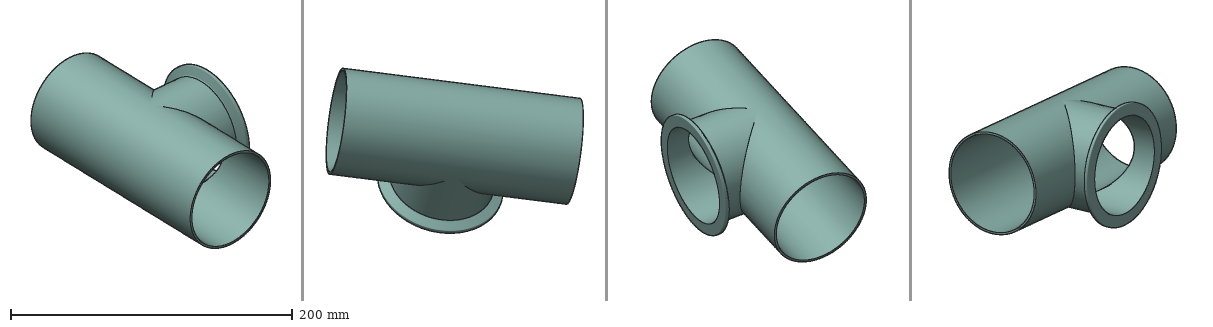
import cadquery as cq
import math

RUN_LENGTH = 171.5
TUBE_OUTER_DIAMETER = 76.1
TUBE_INNER_DIAMETER = 72.9
FERRULE_DIAMETER = 90.9
FERRULE_FACE_Y = 54.0
RIM_WIDTH = 2.7
CONE_ANGLE = 20.0
RIM_ROUND = 0.5
ROOT_ROUND = 0.9

tube_radius = TUBE_OUTER_DIAMETER / 2
bore_radius = TUBE_INNER_DIAMETER / 2
ferrule_radius = FERRULE_DIAMETER / 2
cone_depth = (ferrule_radius - tube_radius) * math.tan(math.radians(CONE_ANGLE))
rim_back_y = FERRULE_FACE_Y - RIM_WIDTH
cone_root_y = rim_back_y - cone_depth


def run_cylinder(radius):
    """Solid cylinder along X, centred on the origin."""
    return cq.Workplane("YZ").circle(radius).extrude(RUN_LENGTH / 2, both=True)


def branch_body():
    """Solid branch along +Y with its clamp ferrule, rounded at the rim and the root."""
    body = (
        cq.Workplane("XY")
        .moveTo(0, 0)
        .lineTo(tube_radius, 0)
        .lineTo(tube_radius, cone_root_y)
        .lineTo(ferrule_radius, rim_back_y)
        .lineTo(ferrule_radius, FERRULE_FACE_Y)
        .lineTo(0, FERRULE_FACE_Y)
        .close()
        .revolve(360, (0, 0, 0), (0, 1, 0))
    )
    rim_edges = cq.selectors.RadiusNthSelector(-1)
    body = body.edges(rim_edges).fillet(RIM_ROUND)
    root_edge = cq.selectors.NearestToPointSelector((0, cone_root_y, 0))
    return body.edges("%CIRCLE").edges(root_edge).fillet(ROOT_ROUND)


def branch_bore():
    """Bore from the run axis out through the clamp face."""
    return cq.Workplane("XZ").circle(bore_radius).extrude(-FERRULE_FACE_Y)


outer_body = run_cylinder(tube_radius).union(branch_body())
result = outer_body.cut(run_cylinder(bore_radius)).cut(branch_bore())